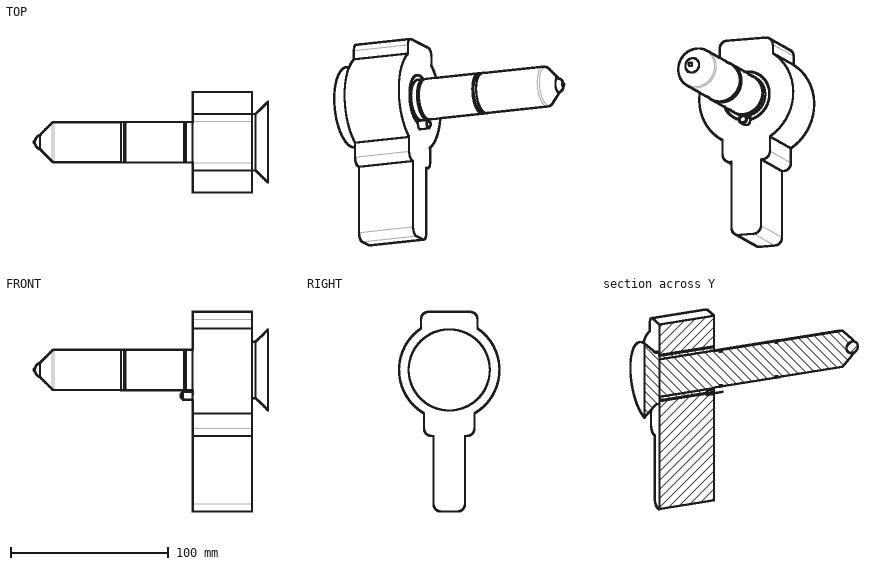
import cadquery as cq
import math


HOUSING_START = 101.0
HOUSING_WIDTH = 37.8
HOUSING_END = HOUSING_START + HOUSING_WIDTH
BARREL_DIAMETER = 63.9
LUG_WIDTH = 36.0
LUG_TOP = 37.0
NECK_WIDTH = 32.2
NECK_BOTTOM = -42.0
HANDLE_WIDTH = 20.1
HANDLE_BOTTOM = -90.0
CORNER_RADIUS = 4.9

BUSHING_RADIUS = 15.6
BUSHING_CLEARANCE = 0.3

NOSE_RADIUS = 12.8
SHANK_RADIUS = 13.0
SHANK_START = 55.7
NOSE_CYLINDER_START = 13.1
NOSE_BLEND_RADIUS = 1.8
NOSE_TAPER_START = 4.0
NOSE_TAPER_ANGLE = math.radians(45)

BALL_RADIUS = 4.9
BALL_CENTER = 5.8
POINT_RADIUS = 1.2

RINGS = [(57.5, 0.9), (95.7, 1.3)]
RING_DEPTH = 1.0

PIN_RADIUS = 2.7
PIN_DROP = 16.4
PIN_SHOULDER = 95.0
PIN_DOME_HEIGHT = 1.6
PIN_DOME_RADIUS = 2.1
PIN_DEPTH = 5.0
PIN_END = HOUSING_START + PIN_DEPTH

HEAD_NECK_RADIUS = 18.0
HEAD_NECK_LENGTH = 2.2
HEAD_END = 149.0
HEAD_END_RADIUS = 25.8


def cylinder(start, end, radius, z=0.0):
    """Cylinder along X from start to end, with its axis at height z."""
    return cq.Workplane("YZ", origin=(start, 0, z)).circle(radius).extrude(end - start)


def block(width, bottom, top):
    """Block as wide as the housing in X, centred on Y, between two heights."""
    return (
        cq.Workplane("YZ", origin=(HOUSING_START, 0, (bottom + top) / 2))
        .rect(width, top - bottom)
        .extrude(HOUSING_WIDTH)
    )


def revolve_about_x(profile):
    """Revolve a closed (X, radius) profile one full turn about the X axis."""
    return profile.close().revolve(360, (0, 0, 0), (1, 0, 0))


def make_pin():
    """Round pin with a small dome on its front shoulder."""
    dome_tip = PIN_SHOULDER - PIN_DOME_HEIGHT
    sphere_radius = (PIN_DOME_RADIUS**2 + PIN_DOME_HEIGHT**2) / (2 * PIN_DOME_HEIGHT)
    half_angle = math.asin(PIN_DOME_RADIUS / sphere_radius) / 2
    arc_middle = (
        dome_tip + sphere_radius * (1 - math.cos(half_angle)),
        sphere_radius * math.sin(half_angle),
    )
    profile = (
        cq.Workplane("XY")
        .moveTo(dome_tip, 0)
        .threePointArc(arc_middle, (PIN_SHOULDER, PIN_DOME_RADIUS))
        .lineTo(PIN_SHOULDER, PIN_RADIUS)
        .lineTo(PIN_END, PIN_RADIUS)
        .lineTo(PIN_END, 0)
    )
    return revolve_about_x(profile).translate((0, 0, -PIN_DROP))


def make_housing():
    """Barrel with its lug, neck and handle, bored for the bushing and the pin."""
    lug = block(LUG_WIDTH, 0, LUG_TOP).edges("|X and >Z").fillet(CORNER_RADIUS)
    neck = block(NECK_WIDTH, NECK_BOTTOM, 0).edges("|X and <Z").fillet(CORNER_RADIUS)
    handle = block(HANDLE_WIDTH, HANDLE_BOTTOM, 0).edges("|X and <Z").fillet(CORNER_RADIUS)
    barrel = cylinder(HOUSING_START, HOUSING_END, BARREL_DIAMETER / 2)
    bore = cylinder(HOUSING_START, HOUSING_END, BUSHING_RADIUS + BUSHING_CLEARANCE)
    pin_hole = cylinder(HOUSING_START, PIN_END, PIN_RADIUS, -PIN_DROP)
    return barrel.union(lug).union(neck).union(handle).cut(bore).cut(pin_hole)


def make_bushing():
    """Sleeve round the shank with a square-topped pin slot in its front face."""
    sleeve = cylinder(HOUSING_START, HOUSING_END, BUSHING_RADIUS)
    bore = cylinder(HOUSING_START, HOUSING_END, SHANK_RADIUS)
    slot = (
        cq.Workplane("YZ", origin=(HOUSING_START, 0, -PIN_DROP + PIN_RADIUS / 2))
        .rect(2 * PIN_RADIUS, PIN_RADIUS)
        .extrude(PIN_DEPTH)
    )
    pin_hole = cylinder(HOUSING_START, PIN_END, PIN_RADIUS, -PIN_DROP)
    return sleeve.cut(bore).cut(slot).cut(pin_hole)


def make_ball_tip():
    """Ball carrying a short conical point that reaches X = 0."""
    point_base = BALL_CENTER - math.sqrt(BALL_RADIUS**2 - POINT_RADIUS**2)
    profile = (
        cq.Workplane("XY")
        .lineTo(point_base, POINT_RADIUS)
        .threePointArc((BALL_CENTER, BALL_RADIUS), (BALL_CENTER + BALL_RADIUS, 0))
    )
    return revolve_about_x(profile)


def make_ring(start, width):
    """Flat ring whose outside is flush with the shank."""
    outer = cylinder(start, start + width, SHANK_RADIUS)
    return outer.cut(cylinder(start, start + width, SHANK_RADIUS - RING_DEPTH))


def make_spindle(ball_tip, rings):
    """Shank and blended conical nose, with a ball seat and grooves for the rings."""
    blend_center = (NOSE_CYLINDER_START, NOSE_RADIUS - NOSE_BLEND_RADIUS)

    def blend_point(angle):
        return (
            blend_center[0] - NOSE_BLEND_RADIUS * math.sin(angle),
            blend_center[1] + NOSE_BLEND_RADIUS * math.cos(angle),
        )

    taper_end = blend_point(NOSE_TAPER_ANGLE)
    taper_length = taper_end[0] - NOSE_TAPER_START
    taper_start_radius = taper_end[1] - taper_length * math.tan(NOSE_TAPER_ANGLE)
    profile = (
        cq.Workplane("XY")
        .moveTo(NOSE_TAPER_START, 0)
        .lineTo(NOSE_TAPER_START, taper_start_radius)
        .lineTo(*taper_end)
        .threePointArc(blend_point(NOSE_TAPER_ANGLE / 2), (NOSE_CYLINDER_START, NOSE_RADIUS))
        .lineTo(SHANK_START, NOSE_RADIUS)
        .lineTo(SHANK_START, SHANK_RADIUS)
        .lineTo(HOUSING_END, SHANK_RADIUS)
        .lineTo(HOUSING_END, 0)
    )
    spindle = revolve_about_x(profile).cut(ball_tip)
    for ring in rings:
        spindle = spindle.cut(ring)
    return spindle


def make_head():
    """Short neck that flares out to a flat end."""
    flare_start = HOUSING_END + HEAD_NECK_LENGTH
    profile = (
        cq.Workplane("XY")
        .moveTo(HOUSING_END, 0)
        .lineTo(HOUSING_END, HEAD_NECK_RADIUS)
        .lineTo(flare_start, HEAD_NECK_RADIUS)
        .lineTo(HEAD_END, HEAD_END_RADIUS)
        .lineTo(HEAD_END, 0)
    )
    return revolve_about_x(profile)


housing = make_housing()
bushing = make_bushing()
ball_tip = make_ball_tip()
rings = [make_ring(start, width) for start, width in RINGS]
spindle = make_spindle(ball_tip, rings)
pin = make_pin()
head = make_head()

result = cq.Compound.makeCompound(
    [
        housing.val(),
        bushing.val(),
        ball_tip.val(),
        spindle.val(),
        *[ring.val() for ring in rings],
        pin.val(),
        head.val(),
    ]
)